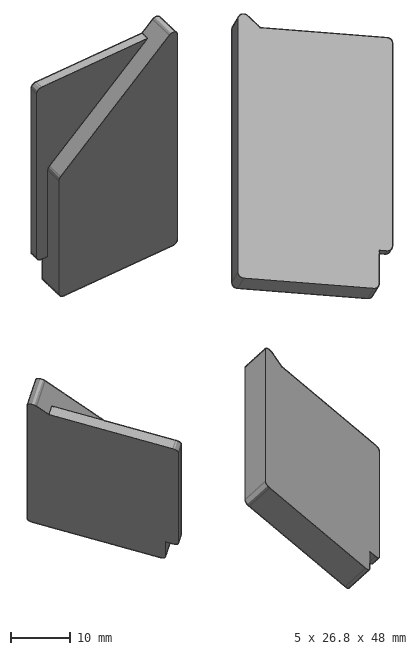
import cadquery as cq
import math

thickness = 5.0
plate_thickness = 1.7
depth = 26.8
height = 47.95
step_depth = 2.3
plate_bottom = 7.0
plate_top = 45.7
corner_radius = 1.0
slope_angle = math.radians(42.4)

peak_rise = corner_radius * (math.tan(slope_angle) + 1 / math.cos(slope_angle) - 1)
peak_height = height + peak_rise
shoulder_height = peak_height - (depth - step_depth) * math.tan(slope_angle)


def side_profile(points, length):
    """Extrude a closed (y, z) outline along X from the outer plate face."""
    return cq.Workplane("YZ").polyline(points).close().extrude(length)


body_outline = [
    (step_depth, 0),
    (depth, 0),
    (depth, peak_height),
    (step_depth, shoulder_height),
]
body = side_profile(body_outline, thickness).edges("|X").fillet(corner_radius)

plate_outline = [
    (0, plate_bottom),
    (depth, plate_bottom),
    (depth, plate_top),
    (0, plate_top),
]
plate = side_profile(plate_outline, plate_thickness)
plate = plate.edges("|X and <Y").fillet(corner_radius)

result = body.union(plate)